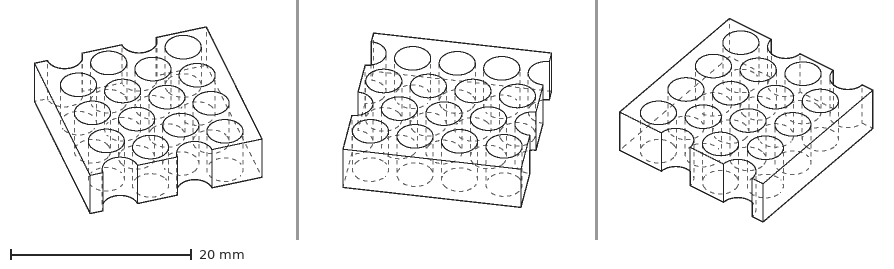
import cadquery as cq
import math

side_length = 20.0
thickness = 5.6

hole_diameter = 4.0
hole_pitch = 5.0
row_pitch = hole_pitch * math.sin(math.radians(60))
row_count = 4
holes_per_long_row = 5
holes_per_short_row = 4


def row_points(row):
    """Hole centres of one row, counted from the -Y side and centred in X."""
    count = holes_per_long_row if row % 2 == 0 else holes_per_short_row
    y = (row - (row_count - 1) / 2) * row_pitch
    return [((i - (count - 1) / 2) * hole_pitch, y) for i in range(count)]


def make_plate():
    """Square plate standing on Z = 0 and centred on the Z axis."""
    return cq.Workplane("XY").box(side_length, side_length, thickness, centered=(True, True, False))


def make_hole_cutters():
    """Cylinders through the full thickness at every hole centre."""
    centres = [point for row in range(row_count) for point in row_points(row)]
    return cq.Workplane("XY").pushPoints(centres).circle(hole_diameter / 2).extrude(thickness)


result = make_plate().cut(make_hole_cutters())